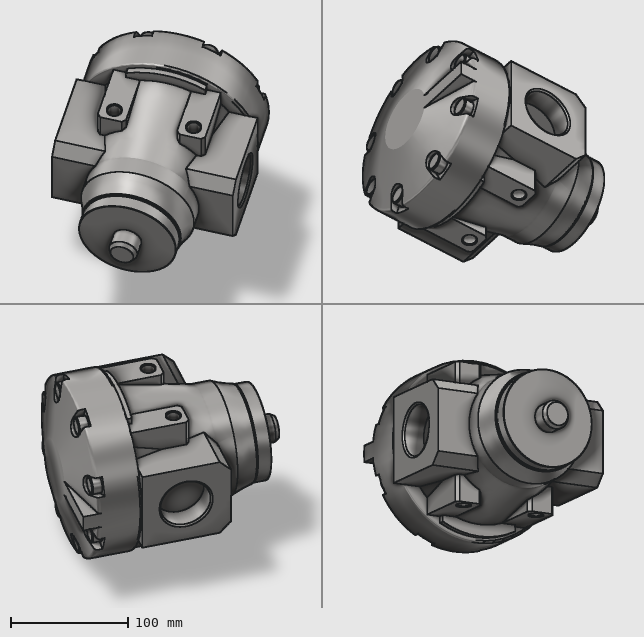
import cadquery as cq
import math


stem_diameter = 25.0
stem_tip_diameter = 20.4
stem_tip_length = 4.0
cap_diameter = 86.0
cap_front = 17.5
cap_back = 29.5
cap_chamfer = 0.4
groove_diameter = 84.3
groove_width = 1.4

collar_diameter = 100.0
collar_front = 50.0
collar_back = 66.3
neck_front_diameter = 87.5
neck_sag = 0.5
body_back_radius = 66.5

cover_diameter = 160.0
cover_radius = cover_diameter / 2
cover_front = 145.1
cover_back = 198.0
cover_flat_radius = 28.3
cover_cone_angle = 15.0
cover_rear_fillet = 3.2
cover_front_fillet = 2.0

screw_count = 8
screw_circle_radius = 67.5
screw_head_diameter = 16.0
screw_head_height = 9.1
screw_head_chamfer = 1.0
pocket_width = 17.5
pocket_floor = 177.8

tab_width = 14.7
tab_front = 180.2

block_length = cover_diameter
block_front = 65.7
block_height = 75.6
block_chamfer = 10.0
port_diameter = 44.7
port_rim_diameter = 48.0
port_depth = 20.0
port_y = 106.0

lug_width = 25.0
lug_spacing = 70.0
lug_top = 61.5
lug_front = 92.3
lug_chamfer = 3.0
lug_hole_diameter = 11.5
lug_hole_rim_diameter = 13.3
lug_hole_y = 103.0
lug_hole_depth = 19.8
pad_radius = 75.8
pad_width = lug_spacing
pad_thickness = 5.1

SIDES = (-1, 1)


def cylinder_y(diameter, y_start, y_end):
    """Cylinder on the main axis."""
    return cq.Workplane("XZ", origin=(0, y_start, 0)).circle(diameter / 2).extrude(y_start - y_end)


def countersunk_hole(plane, diameter, rim_diameter, depth):
    """Cutter for a flat-bottomed hole with a 45 degree chamfer at its mouth, sunk below the plane."""
    bore = cq.Workplane(plane).circle(diameter / 2).extrude(-depth)
    rim_depth = (rim_diameter - diameter) / 2
    rim = cq.Workplane(plane).circle(rim_diameter / 2).extrude(-rim_depth, taper=45)
    return bore.union(rim)


def turned_body():
    """Stem, cap, curved neck, collar and conical body as one turned profile."""
    neck_front = cap_back + groove_width
    neck_radius = neck_front_diameter / 2
    collar_radius = collar_diameter / 2
    neck_middle = (
        (neck_radius + collar_radius) / 2 - neck_sag,
        (neck_front + collar_front) / 2,
    )
    profile = (
        cq.Workplane("XY")
        .lineTo(stem_tip_diameter / 2, 0)
        .lineTo(stem_diameter / 2, stem_tip_length)
        .lineTo(stem_diameter / 2, cap_front)
        .lineTo(cap_diameter / 2 - cap_chamfer, cap_front)
        .lineTo(cap_diameter / 2, cap_front + cap_chamfer)
        .lineTo(cap_diameter / 2, cap_back)
        .lineTo(groove_diameter / 2, cap_back)
        .lineTo(groove_diameter / 2, neck_front)
        .lineTo(neck_radius, neck_front)
        .threePointArc(neck_middle, (collar_radius, collar_front))
        .lineTo(collar_radius, collar_back)
        .lineTo(body_back_radius, cover_front)
        .lineTo(0, cover_front)
        .close()
    )
    return profile.revolve(360, (0, 0, 0), (0, 1, 0))


def cover():
    """Round cover with a conical back and rounded rims."""
    cone_drop = (cover_radius - cover_flat_radius) * math.tan(math.radians(cover_cone_angle))
    rim_y = cover_back - cone_drop
    disc = (
        cq.Workplane("XY")
        .moveTo(0, cover_front)
        .lineTo(cover_radius, cover_front)
        .lineTo(cover_radius, rim_y)
        .lineTo(cover_flat_radius, cover_back)
        .lineTo(0, cover_back)
        .close()
        .revolve(360, (0, 0, 0), (0, 1, 0))
    )
    rear_rim = cq.selectors.NearestToPointSelector((0, rim_y, 0))
    disc = disc.edges(rear_rim).fillet(cover_rear_fillet)
    return disc.faces("<Y").edges().fillet(cover_front_fillet)


def on_screw_circle(shape):
    """Copies of a shape built at +X, spaced evenly with a half-step offset about the main axis."""
    step = 360 / screw_count
    copies = cq.Workplane("XY")
    for index in range(screw_count):
        copies = copies.add(shape.rotate((0, 0, 0), (0, 1, 0), (index + 0.5) * step))
    return copies.combine()


def screw_pocket():
    """Cutter for a round-ended slot that opens through the cover rim."""
    depth = cover_back - pocket_floor
    floor = cq.Workplane("XZ", origin=(0, pocket_floor, 0))
    round_end = floor.center(screw_circle_radius, 0).circle(pocket_width / 2).extrude(-depth)
    channel_length = cover_radius
    channel_middle = screw_circle_radius + channel_length / 2
    channel = floor.center(channel_middle, 0).rect(channel_length, pocket_width).extrude(-depth)
    return round_end.union(channel)


def screw_head():
    """Chamfered cylindrical screw head standing on the pocket floor."""
    seat = cq.Workplane("XZ", origin=(screw_circle_radius, pocket_floor, 0))
    head = seat.circle(screw_head_diameter / 2).extrude(-screw_head_height)
    return head.faces(">Y").edges().chamfer(screw_head_chamfer)


def cover_tab():
    """Flat key from the cover's centre to its -X rim."""
    key = cq.Workplane("XY").box(
        cover_radius, cover_back - tab_front, tab_width, centered=(True, False, True)
    ).translate((-cover_radius / 2, tab_front, 0))
    return key.intersect(cylinder_y(cover_diameter, tab_front, cover_back))


def port_block():
    """Cross block for the two ports, chamfered along its front edges."""
    depth = cover_front - block_front
    block = cq.Workplane("XY").box(block_length, depth, block_height, centered=(True, False, True))
    return block.faces("<Y").edges("|X").chamfer(block_chamfer).translate((0, block_front, 0))


def port(side):
    """Cutter for the port in the block end on the given side."""
    plane = cq.Plane(origin=(side * block_length / 2, port_y, 0), xDir=(0, 1, 0), normal=(side, 0, 0))
    return countersunk_hole(plane, port_diameter, port_rim_diameter, port_depth)


def lug():
    """Mounting lug pointing up from the main axis, centred on X = 0."""
    length = cover_front - lug_front
    bar = cq.Workplane("XY").box(lug_width, length, lug_top, centered=(True, False, False))
    return bar.faces("<Y").edges("|Z").chamfer(lug_chamfer).translate((0, lug_front, 0))


def lug_hole():
    """Cutter for the blind hole in a lug centred on X = 0."""
    plane = cq.Plane(origin=(0, lug_hole_y, lug_top))
    return countersunk_hole(plane, lug_hole_diameter, lug_hole_rim_diameter, lug_hole_depth)


def at_each_lug(shape):
    """Four copies of a shape built for an upward lug: a pair above the body and a pair below it."""
    copies = cq.Workplane("XY")
    for side in SIDES:
        upper = shape.translate((side * lug_spacing / 2, 0, 0))
        copies = copies.add(upper).add(upper.mirror("XY"))
    return copies.combine()


def rim_pads():
    """Pads with an arc edge in front of the cover, above and below the body."""
    pad_front = cover_front - pad_thickness
    front_plane = cq.Workplane("XZ", origin=(0, pad_front, 0))
    strip = front_plane.rect(pad_width, cover_diameter).extrude(-pad_thickness)
    return strip.intersect(cylinder_y(2 * pad_radius, pad_front, cover_front))


result = cover().cut(on_screw_circle(screw_pocket()))
result = result.union(on_screw_circle(screw_head()))
result = result.union(cover_tab())
result = result.union(turned_body())
result = result.union(port_block())
result = result.union(rim_pads())
result = result.union(at_each_lug(lug()))
result = result.cut(at_each_lug(lug_hole()))
for side in SIDES:
    result = result.cut(port(side))